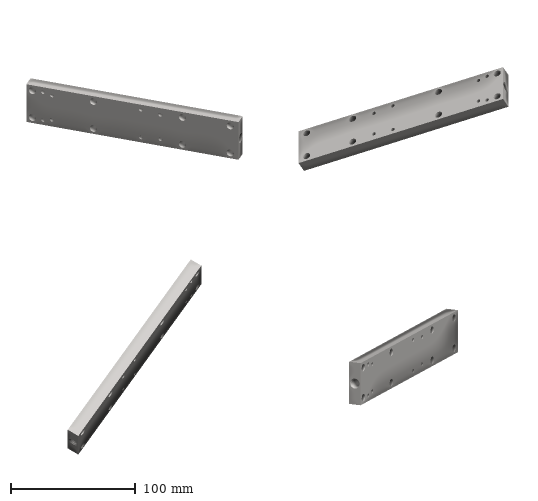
import cadquery as cq

length = 180.0
thickness = 10.0
height = 35.0

mounting_diameter = 6.1
mounting_spacing = 25.0
mounting_positions = [5.2, 56.9, 132.5, 173.0]

small_diameter = 3.2
outer_small_spacing = 26.0
outer_small_positions = [14.2, 97.2]
inner_small_spacing = 22.5
inner_small_positions = [21.8, 113.8]

bore_diameter = 6.5
bore_mouth_diameter = 8.3
bore_chamfer = (bore_mouth_diameter - bore_diameter) / 2


def hole_pairs(positions, spacing, diameter):
    """Cutters along Y: one hole above and one below the centreline at each X."""
    points = [(x, side * spacing / 2) for x in positions for side in (-1, 1)]
    return (
        cq.Workplane("XZ")
        .pushPoints(points)
        .circle(diameter / 2)
        .extrude(thickness / 2, both=True)
    )


def chamfered_bore():
    """Cutter along X: a half profile revolved about the plate's long axis."""
    bore_radius = bore_diameter / 2
    mouth_radius = bore_mouth_diameter / 2
    profile = [
        (0, 0),
        (0, mouth_radius),
        (bore_chamfer, bore_radius),
        (length - bore_chamfer, bore_radius),
        (length, mouth_radius),
        (length, 0),
    ]
    return cq.Workplane("XY").polyline(profile).close().revolve(360, (0, 0), (1, 0))


plate = cq.Workplane("XY").box(length, thickness, height, centered=(False, True, True))

result = (
    plate
    .cut(hole_pairs(mounting_positions, mounting_spacing, mounting_diameter))
    .cut(hole_pairs(outer_small_positions, outer_small_spacing, small_diameter))
    .cut(hole_pairs(inner_small_positions, inner_small_spacing, small_diameter))
    .cut(chamfered_bore())
)